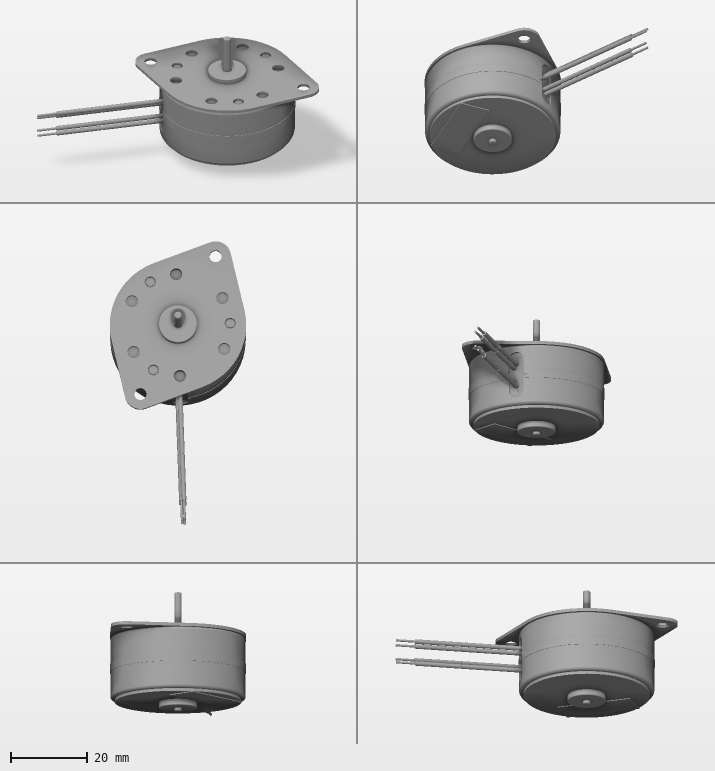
import cadquery as cq
import math


flange_radius = 17.9
flange_thickness = 0.8
ear_radius = 4.0
ear_hole_diameter = 3.2
ear_hole_spacing = 42.0

face_hole_circle_radius = 13.7
face_hole_count = 6
face_hole_pitch = 360 / face_hole_count
face_hole_diameter = 3.2
deep_hole_depth = 1.6
deep_hole_indices = (0, 3)
rivet_count = 3
rivet_first_angle = 60
rivet_hole_diameter = 2.9
rivet_diameter = 2.15
rivet_recess = 0.4

drum_radius = 17.75
drum_height = 16.3
drum_fillet = 0.75
band_radius = flange_radius
band_height = 2.1
band_middle_z = -drum_height / 2

bottom_plate_radius = 16.55
bottom_plate_thickness = 0.75
label_length = 20.0
label_width = 8.0
label_thickness = 0.2
label_center_y = 9.4

boss_radius = 5.0
boss_fillet = 0.2
top_boss_height = 1.45
bottom_boss_height = 1.6
boss_clearance_diameter = 2.6
boss_clearance_depth = 0.35

shaft_diameter = 1.95
shaft_length = 31.6
shaft_top_z = 12.1
shaft_end_fillet = 0.35

lead_angle = 210
pocket_floor_distance = 17.1
pocket_width = 4.0
pocket_height = 12.4
pocket_flare_radius = 1.2
pocket_cut_length = 3.5

lead_diameter = 1.2
core_diameter = 0.6
groove_diameter = 1.0
groove_width = 0.3
groove_distance = 33.4
insulation_end = 45.7
lead_hole_depth = 0.15
lead_hole_offsets = [(-0.7, 1.95), (0.0, 3.05), (0.7, 4.25)]
lead_positions = [(across, side * up) for side in (1, -1) for across, up in lead_hole_offsets]
wired_positions = [(across, side * up) for side in (1, -1) for across, up in lead_hole_offsets[:-1]]

overall_length = 69.55
ear_tip_x = ear_hole_spacing / 2 + ear_radius
lead_slant = math.radians(lead_angle - 180)
core_edge_offset = core_diameter / 2 - lead_hole_offsets[0][0]
core_end = (overall_length - ear_tip_x - core_edge_offset * math.sin(lead_slant)) / math.cos(lead_slant)

bottom_plate_z = -drum_height - bottom_plate_thickness


def lead_plane(distance):
    """Plane facing along the leads, at a distance from the motor axis, level with the band middle."""
    angle = math.radians(lead_angle)
    outward = cq.Vector(math.cos(angle), math.sin(angle), 0)
    across = cq.Vector(-outward.y, outward.x, 0)
    origin = outward * distance + cq.Vector(0, 0, band_middle_z)
    return cq.Plane(origin=origin, xDir=across, normal=outward)


def disc(radius, bottom_z, height):
    return cq.Workplane("XY").workplane(offset=bottom_z).circle(radius).extrude(height)


def make_flange():
    """Round plate with two ears, joined by lines tangent to both arcs."""
    ear_x = ear_hole_spacing / 2
    tangent_angle = math.acos((flange_radius - ear_radius) / ear_x)
    cos_t = math.cos(tangent_angle)
    sin_t = math.sin(tangent_angle)
    disc_x = flange_radius * cos_t
    disc_y = flange_radius * sin_t
    tip_x = ear_x + ear_radius * cos_t
    tip_y = ear_radius * sin_t
    return (
        cq.Workplane("XY")
        .moveTo(disc_x, disc_y)
        .threePointArc((0, flange_radius), (-disc_x, disc_y))
        .lineTo(-tip_x, tip_y)
        .threePointArc((-ear_tip_x, 0), (-tip_x, -tip_y))
        .lineTo(-disc_x, -disc_y)
        .threePointArc((0, -flange_radius), (disc_x, -disc_y))
        .lineTo(tip_x, -tip_y)
        .threePointArc((ear_tip_x, 0), (tip_x, tip_y))
        .close()
        .extrude(flange_thickness)
        .faces(">Z").workplane()
        .pushPoints([(-ear_x, 0), (ear_x, 0)])
        .hole(ear_hole_diameter)
    )


def make_face_hole(index):
    """One of the plain holes, half a pitch off the X axis; two opposite ones continue into the drum."""
    angle = math.radians(face_hole_pitch * (index + 0.5))
    depth = deep_hole_depth if index in deep_hole_indices else flange_thickness
    return (
        cq.Workplane("XY").workplane(offset=flange_thickness)
        .center(face_hole_circle_radius * math.cos(angle), face_hole_circle_radius * math.sin(angle))
        .circle(face_hole_diameter / 2)
        .extrude(-depth)
    )


def make_rivet_grooves():
    """Holes, each filled by a rivet standing up in the middle and ending below the flange face."""
    places = cq.Workplane("XY").polarArray(face_hole_circle_radius, rivet_first_angle, 360, rivet_count)
    holes = places.circle(rivet_hole_diameter / 2).extrude(flange_thickness)
    rivets = places.circle(rivet_diameter / 2).extrude(flange_thickness - rivet_recess)
    return holes.cut(rivets)


def make_drum():
    drum = disc(drum_radius, -drum_height, drum_height).edges().fillet(drum_fillet)
    return drum.union(disc(band_radius, band_middle_z - band_height / 2, band_height))


def make_bottom():
    plate = disc(bottom_plate_radius, bottom_plate_z, bottom_plate_thickness)
    label = (
        cq.Workplane("XY").workplane(offset=bottom_plate_z)
        .center(0, label_center_y)
        .rect(label_length, label_width)
        .extrude(-label_thickness)
    )
    return plate.union(label)


def make_bosses():
    top = disc(boss_radius, flange_thickness, top_boss_height).faces(">Z").edges().fillet(boss_fillet)
    bottom = disc(boss_radius, bottom_plate_z - bottom_boss_height, bottom_boss_height)
    return top, bottom.faces("<Z").edges().fillet(boss_fillet)


def make_lead_pocket():
    """Flat-floored slot whose sides flare out in quarter arcs to a point at the band middle."""
    half = pocket_width / 2
    straight_top = pocket_height / 2 - half
    flare = pocket_flare_radius
    flare_tip = half + flare
    bulge = flare * (1 - math.sqrt(0.5))
    return (
        cq.Workplane(lead_plane(pocket_floor_distance))
        .moveTo(half, straight_top)
        .threePointArc((0, pocket_height / 2), (-half, straight_top))
        .lineTo(-half, flare)
        .threePointArc((-half - bulge, bulge), (-flare_tip, 0))
        .threePointArc((-half - bulge, -bulge), (-half, -flare))
        .lineTo(-half, -straight_top)
        .threePointArc((0, -pocket_height / 2), (half, -straight_top))
        .lineTo(half, -flare)
        .threePointArc((half + bulge, -bulge), (flare_tip, 0))
        .threePointArc((half + bulge, bulge), (half, flare))
        .close()
        .extrude(pocket_cut_length)
    )


def make_lead_holes():
    return (
        cq.Workplane(lead_plane(pocket_floor_distance))
        .pushPoints(lead_positions)
        .circle(lead_diameter / 2)
        .extrude(-lead_hole_depth)
    )


def make_shaft_bore():
    """Shaft hole through the whole housing, with a wider mouth in the top boss."""
    bore = disc(shaft_diameter / 2, shaft_top_z - shaft_length, shaft_length)
    mouth_z = flange_thickness + top_boss_height - boss_clearance_depth
    return bore.union(disc(boss_clearance_diameter / 2, mouth_z, boss_clearance_depth))


def make_housing():
    top_boss, bottom_boss = make_bosses()
    solid = make_flange().union(make_drum()).union(make_bottom())
    solid = solid.union(top_boss).union(bottom_boss)
    solid = solid.cut(make_rivet_grooves())
    for index in range(face_hole_count):
        solid = solid.cut(make_face_hole(index))
    return solid.cut(make_lead_pocket()).cut(make_lead_holes()).cut(make_shaft_bore())


def make_shaft():
    shaft = disc(shaft_diameter / 2, shaft_top_z - shaft_length, shaft_length)
    return shaft.faces("<Z or >Z").edges().fillet(shaft_end_fillet)


def make_lead(position):
    """Insulated lead seated in its hole, grooved partway along, with a bare core at the free end."""
    def lead_rod(diameter, start, end):
        return (
            cq.Workplane(lead_plane(start))
            .center(*position)
            .circle(diameter / 2)
            .extrude(end - start)
        )

    groove_end = groove_distance + groove_width
    inner_insulation = lead_rod(lead_diameter, pocket_floor_distance - lead_hole_depth, groove_distance)
    groove = lead_rod(groove_diameter, groove_distance, groove_end)
    outer_insulation = lead_rod(lead_diameter, groove_end, insulation_end)
    core = lead_rod(core_diameter, insulation_end, core_end)
    return inner_insulation.union(groove).union(outer_insulation).union(core)


housing = make_housing()
shaft = make_shaft()
leads = [make_lead(position) for position in wired_positions]

result = cq.Compound.makeCompound([housing.val(), shaft.val(), *[lead.val() for lead in leads]])